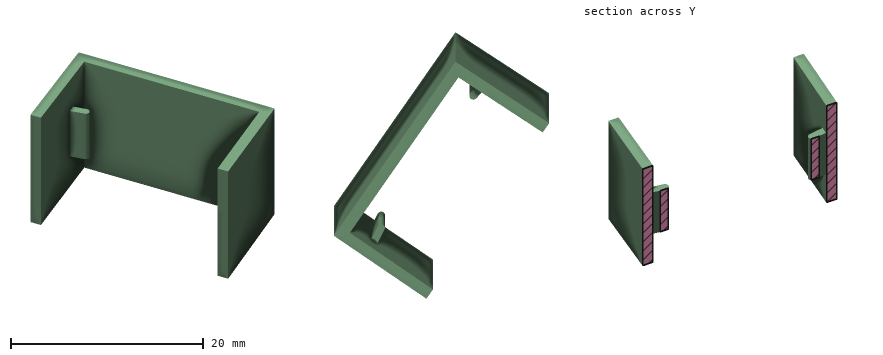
import cadquery as cq
import math

front_width = 22.6
back_width = 22.4
depth = 11.7
front_height = 14.2
back_height = 14.0
wall = 1.2

rib_height = 6.01
rib_thickness = 0.8
rib_tip_reach = 3.2
rib_tip_depth = 7.62
rib_tilt = 8.0

half_front = front_width / 2
half_back = back_width / 2


def channel():
    """U-shaped channel, open at the front, with slightly flared side walls."""
    outline = [
        (-half_front, 0),
        (-half_back, depth),
        (half_back, depth),
        (half_front, 0),
        (half_front - wall, 0),
        (half_back - wall, depth - wall),
        (wall - half_back, depth - wall),
        (wall - half_front, 0),
    ]
    return cq.Workplane("XY").polyline(outline).close().extrude(front_height / 2, both=True)


def height_taper():
    """Envelope whose height shrinks from the front edge to the back plate."""
    side = [
        (0, -front_height / 2),
        (depth, -back_height / 2),
        (depth, back_height / 2),
        (0, front_height / 2),
    ]
    return cq.Workplane("YZ").polyline(side).close().extrude(half_front, both=True)


def left_rib():
    """Tilted rib with a full-round tip, its root buried in the left wall."""
    tip_radius = rib_thickness / 2
    tip_x = rib_tip_reach - tip_radius - half_front
    wall_middle_x = wall / 2 - half_front
    length = (tip_x - wall_middle_x) / math.cos(math.radians(rib_tilt))
    return (
        cq.Workplane("XY")
        .moveTo(-length, -tip_radius)
        .lineTo(0, -tip_radius)
        .threePointArc((tip_radius, 0), (0, tip_radius))
        .lineTo(-length, tip_radius)
        .close()
        .extrude(rib_height / 2, both=True)
        .rotate((0, 0, 0), (0, 0, 1), rib_tilt)
        .translate((tip_x, rib_tip_depth, 0))
    )


rib = left_rib()
result = channel().intersect(height_taper()).union(rib).union(rib.mirror("YZ"))